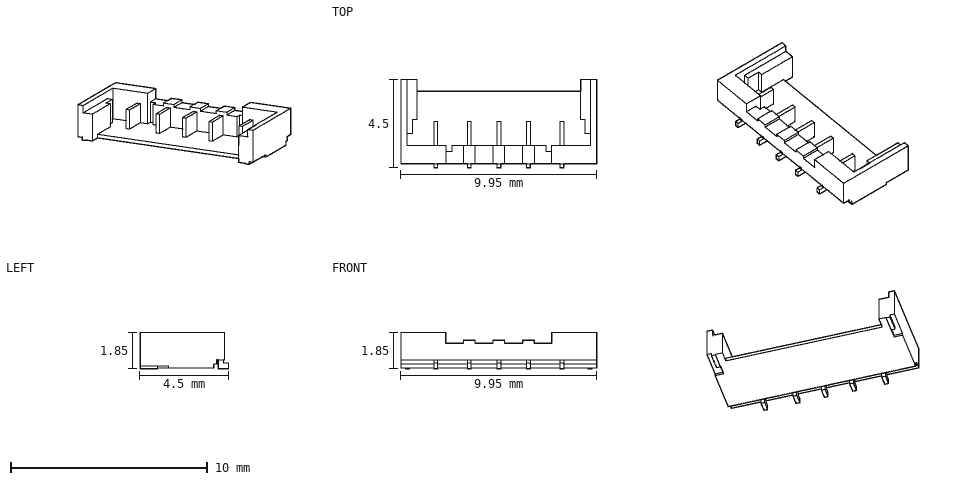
import cadquery as cq

length = 9.95
depth = 4.3
top_z = 1.85
standoff = 0.03

side_wall = 0.31
front_wall = 0.94
floor_top_z = 0.23
floor_back_y = 3.7

ledge_drop = 0.39
ledge_width = 0.52
ledge_front_y = 2.25
tongue_width = 0.28
tongue_front_y = 1.55

window_width = 5.37
window_drop = 0.55
tooth_width = 0.6
tooth_height = 0.15
corner_slot_width = 0.3
corner_slot_depth = 0.3

upper_relief_depth = 0.4
upper_relief_z = 0.45
lower_relief_depth = 0.55
lower_relief_z = 0.24

inner_pitch = 1.5
outer_offset = 3.2
contact_width = 0.2
blade_back_y = 2.16
blade_top_z = 1.24
leg_front_y = 0.06
leg_back_y = 0.34
foot_reach = 0.2
foot_top_z = 0.3

recess_length = 1.44
recess_top_z = 0.15
tab_length = 0.9
tab_inset = 0.24
tab_width = 0.21

ledge_top_z = top_z - ledge_drop
window_z = top_z - window_drop
tooth_offsets = (-inner_pitch, 0, inner_pitch)
contact_offsets = (-outer_offset, *tooth_offsets, outer_offset)


def block(x, y, z):
    """Axis-aligned block from (start, end) pairs."""
    size = [end - start for start, end in (x, y, z)]
    return cq.Workplane("XY").box(*size, centered=False).translate((x[0], y[0], z[0]))


def centred_block(centre_x, width, y, z):
    return block((centre_x - width / 2, centre_x + width / 2), y, z)


def both_ends(shape):
    """The shape together with its mirror image about the middle of the length."""
    return shape.union(shape.mirror("YZ"))


def make_shell():
    """Front wall, side walls and floor."""
    front = centred_block(0, length, (0, front_wall), (standoff, top_z))
    floor = centred_block(0, length, (0, floor_back_y), (standoff, floor_top_z))
    side = block((-length / 2, -length / 2 + side_wall), (0, depth), (standoff, top_z))
    return front.union(floor).union(both_ends(side))


def make_ledges():
    inner_x = -length / 2 + side_wall
    ledge_z = (standoff, ledge_top_z)
    ledge = block((inner_x, inner_x + ledge_width), (ledge_front_y, depth), ledge_z)
    tongue = block((inner_x, inner_x + tongue_width), (tongue_front_y, ledge_front_y), ledge_z)
    return both_ends(ledge.union(tongue))


def cut_window(body):
    """Lower the middle of the front wall, leave teeth and slot the inside corners."""
    body = body.cut(centred_block(0, window_width, (0, front_wall), (window_z, top_z)))
    for offset in tooth_offsets:
        tooth_z = (window_z, window_z + tooth_height)
        body = body.union(centred_block(offset, tooth_width, (0, front_wall), tooth_z))
    slot_x = -window_width / 2
    slot = block(
        (slot_x, slot_x + corner_slot_width),
        (front_wall - corner_slot_depth, front_wall),
        (floor_top_z, top_z),
    )
    return body.cut(both_ends(slot))


def cut_front_relief(body):
    upper = centred_block(0, length, (0, upper_relief_depth), (0, upper_relief_z))
    lower = centred_block(0, length, (0, lower_relief_depth), (0, lower_relief_z))
    return body.cut(upper).cut(lower)


def make_contact(offset):
    """Blade inside the housing, leg through the front relief and foot on the solder plane."""
    blade = centred_block(offset, contact_width, (front_wall, blade_back_y), (floor_top_z, blade_top_z))
    leg = centred_block(offset, contact_width, (leg_front_y, leg_back_y), (0, upper_relief_z))
    foot = centred_block(offset, contact_width, (-foot_reach, leg_back_y), (0, foot_top_z))
    return blade.union(leg).union(foot)


def add_solder_tabs(body):
    tab_x = -length / 2 + tab_inset
    tab_end_x = tab_x + tab_width
    recess = block((-length / 2, tab_end_x), (depth - recess_length, depth), (0, recess_top_z))
    tab = block((tab_x, tab_end_x), (depth - tab_length, depth), (0, recess_top_z))
    return body.cut(both_ends(recess)).union(both_ends(tab))


body = make_shell().union(make_ledges())
body = cut_window(body)
body = cut_front_relief(body)
body = add_solder_tabs(body)
for contact_offset in contact_offsets:
    body = body.union(make_contact(contact_offset))

result = body